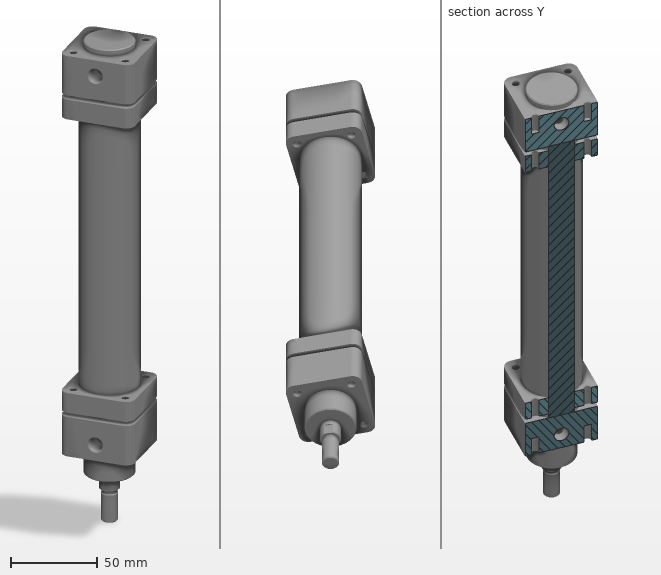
import cadquery as cq

TOTAL_LENGTH = 304.0
BLOCK_WIDTH = 45.0
CORNER_RADIUS = 5.5

HEAD_HEIGHT = 25.0
BOSS_DIAMETER = 30.0
BOSS_CHAMFER = 0.5
REAR_BOSS_HEIGHT = 4.0
FRONT_BOSS_HEIGHT = 16.5
PORT_DIAMETER = 8.8
PORT_INSET = 10.0
PORT_DEPTH = 12.2

RIM_CHAMFER = 0.45

FLANGE_THICKNESS = 12.5
FLANGE_GAP = 2.7
BARREL_DIAMETER = 36.2

SCREW_HOLE_DIAMETER = 4.3
SCREW_HOLE_SPACING = 32.2
SCREW_HOLE_DEPTH = 12.2

THREAD_DIAMETER = 10.0
THREAD_LENGTH = 18.0
THREAD_CHAMFER = 0.5
NECK_DIAMETER = 8.5
NECK_LENGTH = 2.0
ROD_DIAMETER = 12.2
ROD_CHAMFER = 0.45
ROD_LENGTH = 10.0
FLATS_LENGTH = 7.0
ACROSS_FLATS = 11.0

UP = cq.Vector(0, 0, 1)
DOWN = cq.Vector(0, 0, -1)
BACK = cq.Vector(0, 1, 0)

neck_bottom = THREAD_LENGTH
rod_bottom = neck_bottom + NECK_LENGTH
front_boss_bottom = rod_bottom + ROD_LENGTH
front_head_bottom = front_boss_bottom + FRONT_BOSS_HEIGHT
barrel_bottom = front_head_bottom + HEAD_HEIGHT
rear_head_top = TOTAL_LENGTH - REAR_BOSS_HEIGHT
barrel_top = rear_head_top - HEAD_HEIGHT
front_flange_bottom = barrel_bottom + FLANGE_GAP
rear_flange_bottom = barrel_top - FLANGE_GAP - FLANGE_THICKNESS


def cylinder(diameter, bottom, height):
    """Round bar on the Z axis."""
    return cq.Workplane("XY").workplane(offset=bottom).circle(diameter / 2).extrude(height)


def square_block(bottom, height):
    """Square block with rounded vertical corners."""
    block = cq.Workplane("XY").workplane(offset=bottom).rect(BLOCK_WIDTH, BLOCK_WIDTH).extrude(height)
    return block.edges("|Z").fillet(CORNER_RADIUS)


def hole_cutter(mouth, inward, diameter, depth):
    """Cutter for a round hole from its mouth point along the inward direction, with a chamfered rim."""
    radius = diameter / 2
    bore = cq.Solid.makeCylinder(radius, depth, mouth, inward)
    rim = cq.Solid.makeCone(radius + RIM_CHAMFER, radius, RIM_CHAMFER, mouth, inward)
    return bore.fuse(rim)


def cut_screw_holes(body, level, inward, depth):
    """Cut the four corner screw holes into the horizontal face at the given level."""
    offset = SCREW_HOLE_SPACING / 2
    for x in (-offset, offset):
        for y in (-offset, offset):
            mouth = cq.Vector(x, y, level)
            body = body.cut(cq.Workplane(hole_cutter(mouth, inward, SCREW_HOLE_DIAMETER, depth)))
    return body


def cut_port(head, level):
    """Cut the blind port into the -Y face, with its axis at the given level."""
    mouth = cq.Vector(0, -BLOCK_WIDTH / 2, level)
    return head.cut(cq.Workplane(hole_cutter(mouth, BACK, PORT_DIAMETER, PORT_DEPTH)))


def make_rear_head():
    boss = cylinder(BOSS_DIAMETER, rear_head_top, REAR_BOSS_HEIGHT).faces(">Z").chamfer(BOSS_CHAMFER)
    head = square_block(barrel_top, HEAD_HEIGHT).union(boss)
    head = cut_screw_holes(head, rear_head_top, DOWN, SCREW_HOLE_DEPTH)
    return cut_port(head, rear_head_top - PORT_INSET)


def make_front_head():
    boss = cylinder(BOSS_DIAMETER, front_boss_bottom, FRONT_BOSS_HEIGHT).faces("<Z").chamfer(BOSS_CHAMFER)
    head = square_block(front_head_bottom, HEAD_HEIGHT).union(boss)
    head = cut_screw_holes(head, front_head_bottom, UP, SCREW_HOLE_DEPTH)
    return cut_port(head, front_head_bottom + PORT_INSET)


def make_barrel():
    return cylinder(BARREL_DIAMETER, barrel_bottom, barrel_top - barrel_bottom)


def make_flange(bottom, rim_level, inward):
    """Plate around the barrel; its through screw holes have their rims on the barrel side."""
    flange = square_block(bottom, FLANGE_THICKNESS)
    flange = flange.cut(cylinder(BARREL_DIAMETER, bottom, FLANGE_THICKNESS))
    return cut_screw_holes(flange, rim_level, inward, FLANGE_THICKNESS)


def make_rod():
    """Rod end with two wrench flats, a neck and a threaded tip."""
    shank = cylinder(ROD_DIAMETER, rod_bottom, ROD_LENGTH).faces("<Z").chamfer(ROD_CHAMFER)
    flats_outline = cq.Workplane("XY").workplane(offset=rod_bottom).rect(ROD_DIAMETER, ACROSS_FLATS)
    wrench_section = flats_outline.extrude(FLATS_LENGTH)
    upper_section = cylinder(ROD_DIAMETER, rod_bottom + FLATS_LENGTH, ROD_LENGTH - FLATS_LENGTH)
    shank = shank.intersect(wrench_section.union(upper_section))
    neck = cylinder(NECK_DIAMETER, neck_bottom, NECK_LENGTH)
    thread = cylinder(THREAD_DIAMETER, 0, THREAD_LENGTH).faces("<Z or >Z").chamfer(THREAD_CHAMFER)
    return shank.union(neck).union(thread)


rear_head = make_rear_head()
front_head = make_front_head()
barrel = make_barrel()
flanges = [
    make_flange(bottom, rim_level, inward)
    for bottom, rim_level, inward in (
        (front_flange_bottom, front_flange_bottom + FLANGE_THICKNESS, DOWN),
        (rear_flange_bottom, rear_flange_bottom, UP),
    )
]
rod = make_rod()

result = cq.Compound.makeCompound([
    rear_head.val(),
    front_head.val(),
    barrel.val(),
    *[flange.val() for flange in flanges],
    rod.val(),
])